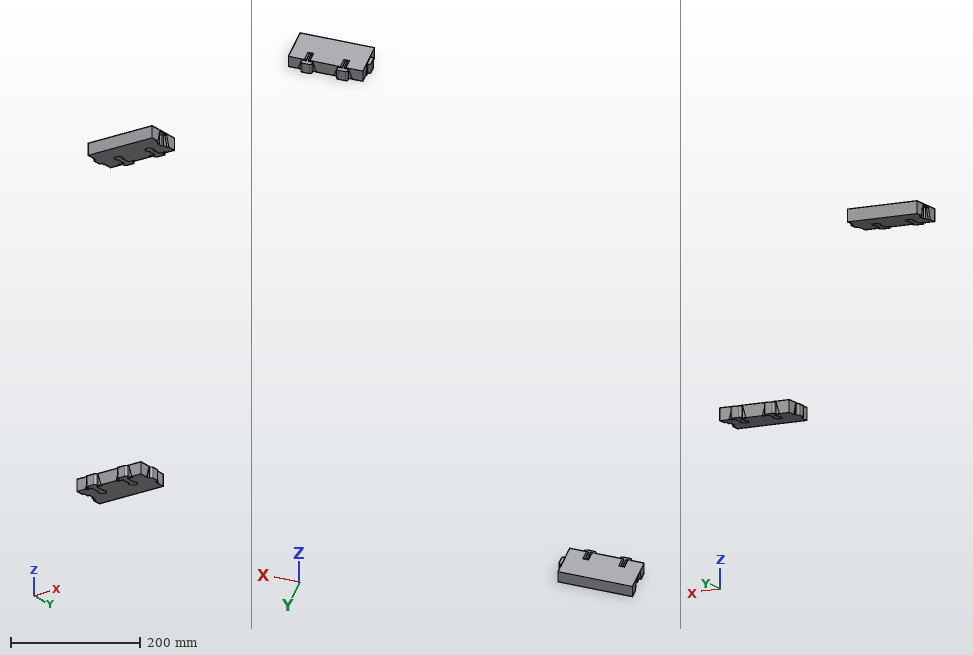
import cadquery as cq

SPAN_X = 900.0
SPAN_Y = 1140.0

BLOCK_LENGTH = 121.0
BLOCK_DEPTH = 60.0
BLOCK_HEIGHT = 20.0

CONNECTOR_HEIGHT = 18.0
HEAD_WIDTH = 18.0
HEAD_CORNER_RADIUS = 3.0
FLARE_BOTTOM_WIDTH = 30.0

TAB_REACH = 6.0
TAB_FLARE_THICKNESS = 1.0
SOCKET_FLARE_DEPTH = 3.0
SOCKET_SLOT_WIDTH = 11.0
SOCKET_SLOT_DEPTH = 7.0

CLIP_REACH = 7.0
CLIP_FLARE_THICKNESS = 3.0
CLIP_OFFSETS = (31.0, 89.0)
STEM_WIDTH = 9.0
STEM_LENGTH = 18.0
GROOVE_WIDTH = 3.0
GROOVE_DEPTH = BLOCK_HEIGHT - CONNECTOR_HEIGHT
PIN_DIAMETER = 14.0
PIN_INSET = 24.0

LEFT_END = -SPAN_X / 2
CLIP_SIDE = SPAN_Y / 2 - BLOCK_DEPTH
MIDLINE = CLIP_SIDE + BLOCK_DEPTH / 2
RIGHT_END = LEFT_END + BLOCK_LENGTH


def flare(y_start, thickness):
    """Upright trapezoid plate, wide at the bottom, from y_start toward +Y."""
    half_top = HEAD_WIDTH / 2
    half_bottom = FLARE_BOTTOM_WIDTH / 2
    return (
        cq.Workplane("XZ", origin=(0, y_start, 0))
        .moveTo(-half_bottom, 0)
        .lineTo(half_bottom, 0)
        .lineTo(half_top, CONNECTOR_HEIGHT)
        .lineTo(-half_top, CONNECTOR_HEIGHT)
        .close()
        .extrude(-thickness)
    )


def plate(width, length, height):
    """Plate centred on X that starts at Y = 0 and runs toward +Y."""
    return cq.Workplane("XY").box(width, length, height, centered=(True, False, False))


def head(reach):
    """Head that stands out from Y = 0 toward -Y, with rounded outer corners."""
    return (
        plate(HEAD_WIDTH, reach, CONNECTOR_HEIGHT)
        .translate((0, -reach, 0))
        .edges("|Z and <Y")
        .fillet(HEAD_CORNER_RADIUS)
    )


def make_clip():
    """Outer head, flush flare, full-height stem with a top groove, and a round locking pin."""
    stem = plate(STEM_WIDTH, STEM_LENGTH, BLOCK_HEIGHT)
    groove = plate(GROOVE_WIDTH, STEM_LENGTH, GROOVE_DEPTH).translate((0, 0, CONNECTOR_HEIGHT))
    pin = cq.Workplane("XY").center(0, PIN_INSET).circle(PIN_DIAMETER / 2).extrude(CONNECTOR_HEIGHT)
    return head(CLIP_REACH).union(flare(0, CLIP_FLARE_THICKNESS)).union(stem.cut(groove)).union(pin)


def make_tab():
    """Tab on the +X end of the block, with a thin flare at its root."""
    tab = head(TAB_REACH).union(flare(-TAB_FLARE_THICKNESS, TAB_FLARE_THICKNESS))
    return tab.rotate((0, 0, 0), (0, 0, 1), 90).translate((RIGHT_END, MIDLINE, 0))


def make_socket():
    """Flared mouth and narrower slot, cut into the -X end of the block."""
    slot = plate(SOCKET_SLOT_WIDTH, SOCKET_SLOT_DEPTH, CONNECTOR_HEIGHT)
    socket = flare(0, SOCKET_FLARE_DEPTH).union(slot)
    return socket.rotate((0, 0, 0), (0, 0, 1), -90).translate((LEFT_END, MIDLINE, 0))


def clip_pocket(clip):
    """The clip together with its groove, so that the groove stays open above the stem."""
    return clip.union(plate(STEM_WIDTH, STEM_LENGTH, BLOCK_HEIGHT))


def make_block():
    """Block with its end tab, end socket and a matching pocket for each clip."""
    body = (
        cq.Workplane("XY")
        .box(BLOCK_LENGTH, BLOCK_DEPTH, BLOCK_HEIGHT, centered=False)
        .translate((LEFT_END, CLIP_SIDE, 0))
        .union(make_tab())
        .cut(make_socket())
    )
    pocket = clip_pocket(make_clip())
    for offset in CLIP_OFFSETS:
        body = body.cut(pocket.translate((LEFT_END + offset, CLIP_SIDE, 0)))
    return body


bodies = []
for turn in (0, 180):
    block = make_block().rotate((0, 0, 0), (0, 0, 1), turn)
    bodies.extend(block.solids().vals())
    for offset in CLIP_OFFSETS:
        clip = make_clip().translate((LEFT_END + offset, CLIP_SIDE, 0))
        bodies.extend(clip.rotate((0, 0, 0), (0, 0, 1), turn).solids().vals())

result = cq.Compound.makeCompound(bodies)